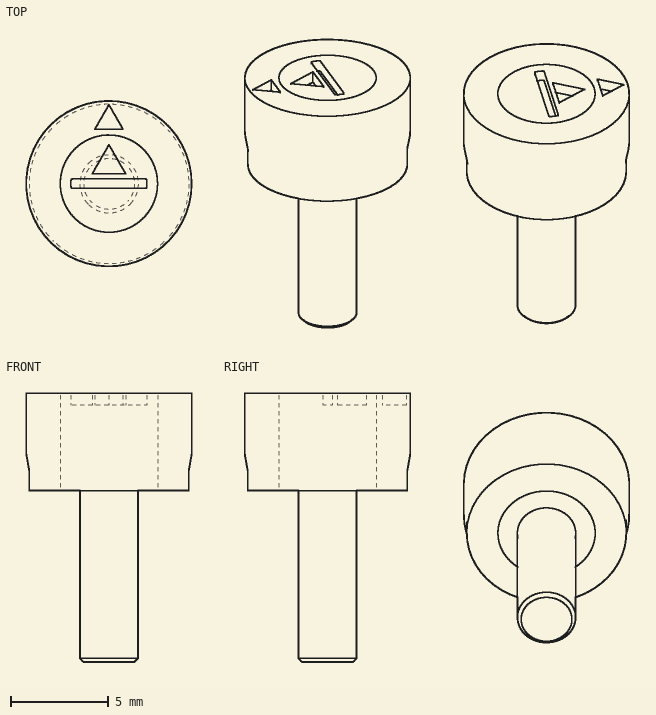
import cadquery as cq
import math

total_height = 13.8
head_height = 5.0
head_bottom = total_height - head_height

housing_diameter = 8.5
foot_diameter = 8.2
foot_height = 1.0
taper_angle = 10.0
taper_height = (housing_diameter - foot_diameter) / 2 / math.tan(math.radians(taper_angle))

insert_diameter = 5.0
stem_diameter = 3.0
stem_chamfer = 0.2

recess_depth = 0.6
slot_length = 3.89
slot_width = 0.5
slot_corner_radius = 0.1
insert_arrow_side = 1.72
insert_arrow_base_y = 0.5
housing_arrow_side = 1.44
housing_arrow_base_y = 2.8


def arrow_cutter(side, base_y):
    """Equilateral triangular prism whose tip points to +Y, sunk from the top face."""
    tip_y = base_y + side * math.sqrt(3) / 2
    return (
        cq.Workplane("XY", origin=(0, 0, total_height))
        .polyline([(-side / 2, base_y), (side / 2, base_y), (0, tip_y)])
        .close()
        .extrude(-recess_depth)
    )


def slot_cutter():
    """Screwdriver slot along X with rounded vertical corners."""
    return (
        cq.Workplane("XY", origin=(0, 0, total_height))
        .rect(slot_length, slot_width)
        .extrude(-recess_depth)
        .edges("|Z")
        .fillet(slot_corner_radius)
    )


def make_housing():
    """Ring with a tapered step down to its foot, bored through for the insert."""
    bore_radius = insert_diameter / 2
    foot_radius = foot_diameter / 2
    housing_radius = housing_diameter / 2
    foot_top = head_bottom + foot_height
    ring = (
        cq.Workplane("XZ")
        .polyline([
            (bore_radius, head_bottom),
            (foot_radius, head_bottom),
            (foot_radius, foot_top),
            (housing_radius, foot_top + taper_height),
            (housing_radius, total_height),
            (bore_radius, total_height),
        ])
        .close()
        .revolve(360, (0, 0, 0), (0, 1, 0))
    )
    return ring.cut(arrow_cutter(housing_arrow_side, housing_arrow_base_y))


def make_insert():
    """Headed pin with a chamfered stem end, a pointer arrow and a slot for turning it."""
    stem = (
        cq.Workplane("XY")
        .circle(stem_diameter / 2)
        .extrude(head_bottom)
        .faces("<Z")
        .chamfer(stem_chamfer)
    )
    head = (
        cq.Workplane("XY", origin=(0, 0, head_bottom))
        .circle(insert_diameter / 2)
        .extrude(head_height)
    )
    return (
        stem.union(head)
        .cut(slot_cutter())
        .cut(arrow_cutter(insert_arrow_side, insert_arrow_base_y))
    )


housing = make_housing()
insert = make_insert()

result = cq.Compound.makeCompound([housing.val(), insert.val()])